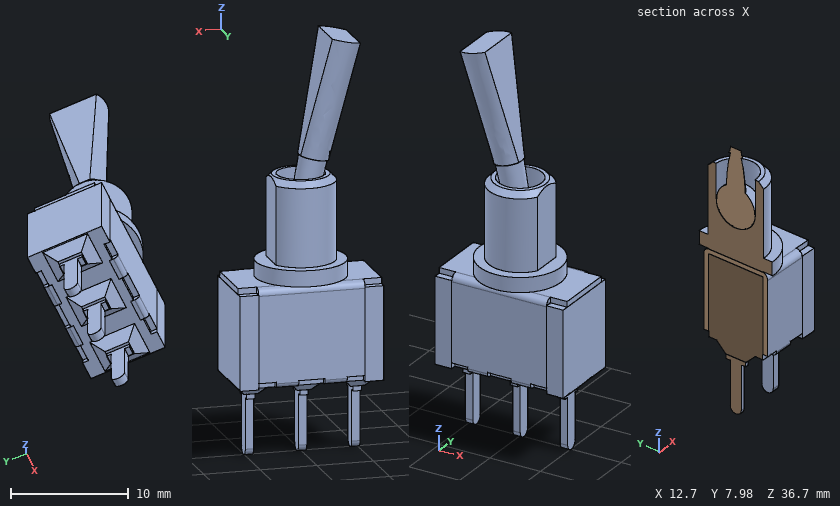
import cadquery as cq
import math

housing_length = 12.7
housing_width = 6.98
body_height = 8.9
frame_thickness = 0.54
housing_height = body_height - frame_thickness

frame_length = 9.4
plate_end_width = 5.64
frame_corner_radius = 0.65
side_wall_bottom = 0.55
core_width = housing_width - 2 * frame_thickness
tab_length = 1.95
tab_spacing = 4.28
tab_positions = (-tab_spacing / 2, tab_spacing / 2)
tab_bend_radius = 0.42
tab_reach = 0.8

terminal_pitch = 4.7
terminal_positions = [index * terminal_pitch for index in (-1, 0, 1)]
mound_height = 1.01
mound_base_size = (3.05, 4.2)
mound_tip_size = (1.24, 2.2)

terminal_bottom = -6.61
terminal_thickness = 0.75
terminal_width = 1.25
shoulder_width = 2.13
shoulder_height = 0.44

flange_diameter = 7.98
flange_height = 1.43
barrel_diameter = 6.1
barrel_height = 8.95
rim_chamfer = 0.55
flat_offset = 2.63
bore_diameter = 4.2
bushing_top = body_height + barrel_height

lever_tilt = -12.4
ball_radius = bore_diameter / 2
ball_center_z = 14.28
neck_ball_radius = 1.12
paddle_start = 5.05
paddle_length = 10.84
paddle_thickness = 2.54
paddle_start_radius = 1.36
paddle_end_radius = 2.54


def box(length, width, bottom, top):
    """Box centred on the Z axis between two heights."""
    return cq.Workplane("XY", origin=(0, 0, bottom)).box(length, width, top - bottom, (True, True, False))


def frame_sheet():
    """Top plate, two side walls and the tabs folded under the housing."""
    sheet = box(frame_length, housing_width, side_wall_bottom, body_height)
    sheet = sheet.edges("|X and >Z").fillet(frame_corner_radius)
    sheet = sheet.cut(box(frame_length, core_width, 0, housing_height))
    sheet = sheet.union(box(housing_length, plate_end_width, housing_height, body_height))
    for tab_x in tab_positions:
        sheet = sheet.union(folded_tabs().translate((tab_x, 0, 0)))
    return sheet


def folded_tabs():
    """Pair of L-shaped tabs, one below each side wall."""
    tabs = box(tab_length, housing_width, 0, side_wall_bottom)
    tabs = tabs.edges("|X and <Z").fillet(tab_bend_radius)
    return tabs.cut(box(tab_length, housing_width - 2 * tab_reach, 0, side_wall_bottom))


def bushing_body():
    """Flanged barrel with a keying flat on +X and a round-bottomed bore for the ball."""
    barrel = cq.Workplane("XY", origin=(0, 0, body_height)).circle(barrel_diameter / 2).extrude(barrel_height)
    barrel = barrel.faces(">Z").chamfer(rim_chamfer)
    beyond_flat = box(barrel_diameter, barrel_diameter, body_height, bushing_top)
    barrel = barrel.cut(beyond_flat.translate((flat_offset + barrel_diameter / 2, 0, 0)))
    flange = cq.Workplane("XY", origin=(0, 0, body_height)).circle(flange_diameter / 2).extrude(flange_height)
    bore = cq.Workplane("XY", origin=(0, 0, ball_center_z)).circle(ball_radius)
    bore = bore.extrude(bushing_top - ball_center_z)
    socket = cq.Workplane("XY").sphere(ball_radius).translate((0, 0, ball_center_z))
    return barrel.union(flange).cut(bore).cut(socket)


def mound(center_x):
    """Tapered mound growing down from the housing."""
    tapered = cq.Workplane("XY").rect(*mound_base_size).workplane(offset=-mound_height).rect(*mound_tip_size)
    return tapered.loft(ruled=True).translate((center_x, 0, 0))


def housing_body():
    """Box recessed for the frame walls and tabs, with a mound for each terminal."""
    body = box(housing_length, housing_width, 0, housing_height)
    walls = box(frame_length, housing_width, 0, housing_height)
    body = body.cut(walls.cut(box(frame_length, core_width, 0, housing_height)))
    for tab_x in tab_positions:
        body = body.cut(folded_tabs().translate((tab_x, 0, 0)))
    for center_x in terminal_positions:
        body = body.union(mound(center_x))
    return body


def terminal(center_x):
    """Flat pin with a shoulder at the top and a round end."""
    top = -mound_height
    tip_radius = terminal_width / 2
    blade_bottom = terminal_bottom + tip_radius
    blade = (
        cq.Workplane("YZ")
        .moveTo(-shoulder_width / 2, top)
        .lineTo(-shoulder_width / 2, top - shoulder_height)
        .lineTo(-tip_radius, top - shoulder_height)
        .lineTo(-tip_radius, blade_bottom)
        .threePointArc((0, terminal_bottom), (tip_radius, blade_bottom))
        .lineTo(tip_radius, top - shoulder_height)
        .lineTo(shoulder_width / 2, top - shoulder_height)
        .lineTo(shoulder_width / 2, top)
        .close()
        .extrude(terminal_thickness / 2, both=True)
    )
    return blade.translate((center_x, 0, 0))


def place_on_lever_axis(shape):
    """Tilt a shape built around the origin and move it to the ball centre."""
    return shape.rotate((0, 0, 0), (0, 1, 0), lever_tilt).translate((0, 0, ball_center_z))


def paddle_section(distance, radius):
    """Circle of the given radius trimmed by the two flats of the paddle."""
    half_thickness = paddle_thickness / 2
    half_chord = math.sqrt(radius**2 - half_thickness**2)
    section = (
        cq.Workplane("XY", origin=(0, 0, distance))
        .moveTo(-half_thickness, half_chord)
        .lineTo(-half_thickness, -half_chord)
        .threePointArc((0, -radius), (half_thickness, -half_chord))
        .lineTo(half_thickness, half_chord)
        .threePointArc((0, radius), (-half_thickness, half_chord))
        .close()
    )
    return section.val()


def lever_body():
    """One piece: ball, conical neck and a flat-sided bat that widens away from the ball."""
    ball = cq.Workplane("XY").sphere(ball_radius)
    neck_bottom = math.sqrt(ball_radius**2 - neck_ball_radius**2)
    neck = (
        cq.Workplane("XY", origin=(0, 0, neck_bottom))
        .circle(neck_ball_radius)
        .workplane(offset=paddle_start - neck_bottom)
        .circle(paddle_thickness / 2)
        .loft(ruled=True)
    )
    start = paddle_section(paddle_start, paddle_start_radius)
    end = paddle_section(paddle_start + paddle_length, paddle_end_radius)
    paddle = cq.Workplane("XY").add(cq.Solid.makeLoft([start, end], True))
    return place_on_lever_axis(ball.union(neck).union(paddle))


frame = frame_sheet()
bushing = bushing_body()
housing = housing_body()
terminals = [terminal(center_x) for center_x in terminal_positions]
lever = lever_body()

result = cq.Compound.makeCompound(
    [frame.val(), bushing.val(), housing.val(), *[pin.val() for pin in terminals], lever.val()]
)